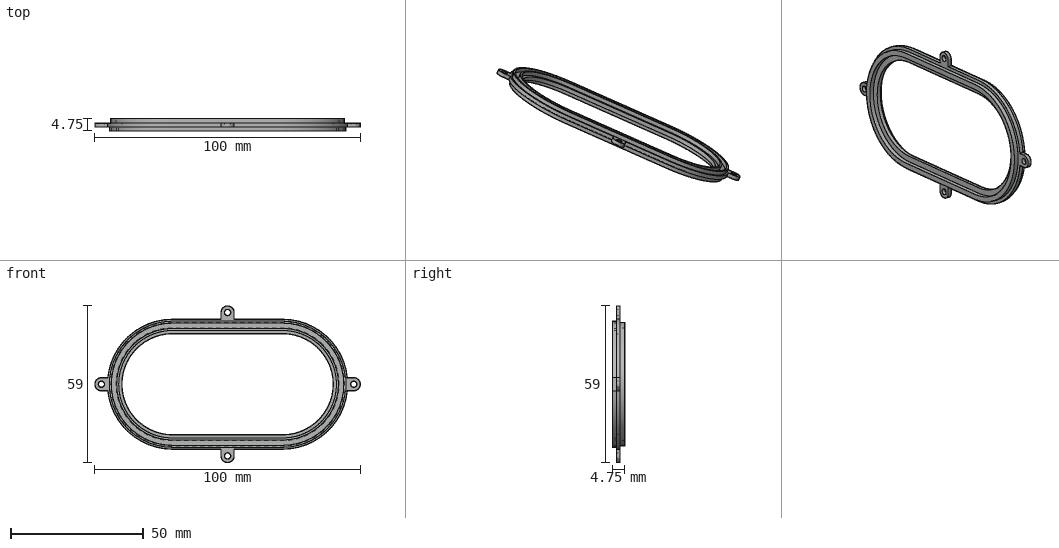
import cadquery as cq

ARC_CENTRE_X = 20.75

OPENING_RADIUS = 19.0
RIB_THICKNESS = 0.75
GROOVE_INNER_RADIUS = 21.0
GROOVE_OUTER_RADIUS = 23.0
OUTER_RIB_RADIUS = GROOVE_OUTER_RADIUS + RIB_THICKNESS
TONGUE_OUTER_RADIUS = 23.25
TONGUE_THICKNESS = GROOVE_OUTER_RADIUS - GROOVE_INNER_RADIUS
FLANGE_RADIUS = 24.5

TOTAL_DEPTH = 4.75
RIB_DEPTH = 1.5
FLANGE_DEPTH = 1.5
TONGUE_DEPTH = TOTAL_DEPTH - RIB_DEPTH - FLANGE_DEPTH
RIB_FRONT = -TOTAL_DEPTH / 2
FLANGE_FRONT = RIB_FRONT + RIB_DEPTH
TONGUE_FRONT = FLANGE_FRONT + FLANGE_DEPTH

TAB_WIDTH = 5.0
TAB_RADIUS = TAB_WIDTH / 2
TAB_HOLE_DIAMETER = 2.25
OVERALL_LENGTH = 100.0
OVERALL_HEIGHT = 59.0
END_HOLE_DISTANCE = OVERALL_LENGTH / 2 - TAB_RADIUS
SIDE_HOLE_DISTANCE = OVERALL_HEIGHT / 2 - TAB_RADIUS

FLAT_X = ARC_CENTRE_X + OUTER_RIB_RADIUS


def plane_at(y):
    """Workplane parallel to XZ at the given Y, with its normal toward +Y."""
    return cq.Workplane(cq.Plane(origin=(0, y, 0), xDir=(1, 0, 0), normal=(0, 1, 0)))


def stadium(radius, front, depth):
    return plane_at(front).slot2D(2 * (ARC_CENTRE_X + radius), 2 * radius).extrude(depth)


def ring(inner_radius, outer_radius, front, depth):
    return stadium(outer_radius, front, depth).cut(stadium(inner_radius, front, depth))


def tab(hole_distance, angle):
    """Round-ended tab with a hole, turned about Y from the +X direction.

    Its slot shape starts far enough inside the flange to bury the inner round end.
    """
    length = 2 * TAB_WIDTH
    slot_centre = hole_distance + TAB_RADIUS - length / 2
    body = plane_at(FLANGE_FRONT).center(slot_centre, 0).slot2D(length, TAB_WIDTH).extrude(FLANGE_DEPTH)
    hole = plane_at(FLANGE_FRONT).center(hole_distance, 0).circle(TAB_HOLE_DIAMETER / 2).extrude(FLANGE_DEPTH)
    return body.cut(hole).rotate((0, 0, 0), (0, 1, 0), angle)


def rib_end_flat(side):
    """Block that squares off the outer rib at one end, kept clear of the groove."""
    centre_x = side * (FLAT_X - RIB_THICKNESS / 2)
    block = plane_at(RIB_FRONT).center(centre_x, 0).rect(RIB_THICKNESS, TAB_WIDTH).extrude(RIB_DEPTH)
    return block.cut(stadium(GROOVE_OUTER_RADIUS, RIB_FRONT, RIB_DEPTH))


flange = ring(OPENING_RADIUS, FLANGE_RADIUS, FLANGE_FRONT, FLANGE_DEPTH)
tongue = ring(TONGUE_OUTER_RADIUS - TONGUE_THICKNESS, TONGUE_OUTER_RADIUS, TONGUE_FRONT, TONGUE_DEPTH)
inner_rib = ring(GROOVE_INNER_RADIUS - RIB_THICKNESS, GROOVE_INNER_RADIUS, RIB_FRONT, RIB_DEPTH)
outer_rib = ring(GROOVE_OUTER_RADIUS, OUTER_RIB_RADIUS, RIB_FRONT, RIB_DEPTH)
for side in (-1, 1):
    outer_rib = outer_rib.union(rib_end_flat(side))

result = flange.union(tongue).union(inner_rib).union(outer_rib)

for half_turn in (0, 180):
    result = result.union(tab(END_HOLE_DISTANCE, half_turn))
    result = result.union(tab(SIDE_HOLE_DISTANCE, half_turn + 90))